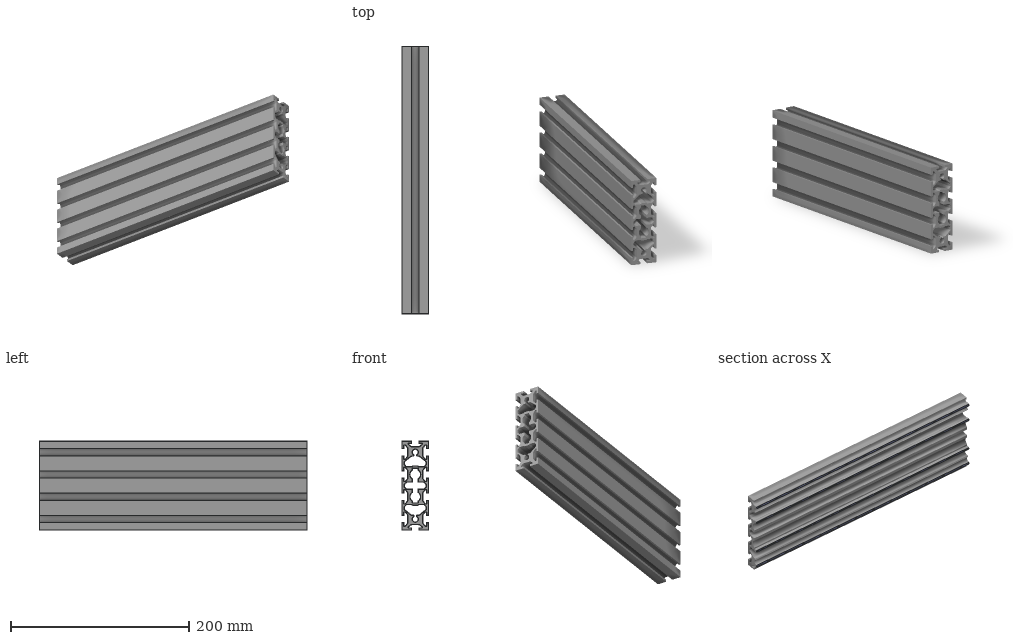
import cadquery as cq

width = 30.0
height = 100.0
length = 300.0

slot_opening = 8.2
slot_floor_radius = 2.0
slot_pitch = 25.0
inner_slot_z = slot_pitch / 2
outer_slot_z = inner_slot_z + slot_pitch
side_slot_heights = [-outer_slot_z, -inner_slot_z, inner_slot_z, outer_slot_z]

side_lip = 2.2
side_slot_depth = 6.5
side_flat_depth = 3.9
side_cavity_half = 7.85
side_floor_half = 4.55

end_lip = 2.6
end_slot_depth = 6.2
end_flat_depth = 3.7
end_cavity_half = 7.7
end_floor_half = 4.7

screw_z = outer_slot_z
screw_radius = 3.3
screw_neck_half = 1.1
screw_mouth_half = 2.1
screw_neck_z = 34.6

chamber_half = 12.2
chamber_floor_z = 21.2
chamber_floor_half = 9.9
chamber_wall_low_z = 23.8
chamber_wall_high_z = 26.8
chamber_shoulder_half = 4.6
chamber_shoulder_radius = 3.0
chamber_roof_z = 33.0
web_crown_half = 2.6
web_crown_base_half = 4.0
web_crown_rise = 0.9

bore_z = inner_slot_z
bore_radius = 5.9
channel_half = 3.2
channel_end_z = 19.4
middle_half_height = 4.0
middle_flat_half = 9.6
middle_wall_half_height = 1.6


def prism(sketch):
    """Extrude a closed XZ section over the full length, centred on Y = 0."""
    return sketch.extrude(length / 2, both=True)


def section(points):
    """Closed polygon in the XZ plane."""
    return cq.Workplane("XZ").polyline(points).close()


def t_slot(lip, flat_depth, depth, cavity_half, floor_half):
    """T-slot cutter opening upward at Z = 0, with a tapered, rounded bottom."""
    half = slot_opening / 2
    cutter = prism(section([
        (-half, 0),
        (-half, -lip),
        (-cavity_half, -lip),
        (-cavity_half, -flat_depth),
        (-floor_half, -depth),
        (floor_half, -depth),
        (cavity_half, -flat_depth),
        (cavity_half, -lip),
        (half, -lip),
        (half, 0),
    ]))
    return cutter.edges("|Y and <Z").fillet(slot_floor_radius)


def both_ends(cutter):
    """The cutter together with its mirror image across Z = 0."""
    return [cutter, cutter.mirror("XY")]


def side_slots():
    """Slots along both wide sides at every slot height."""
    slot = t_slot(side_lip, side_flat_depth, side_slot_depth, side_cavity_half, side_floor_half)
    right = slot.rotate((0, 0, 0), (0, 1, 0), 90).translate((width / 2, 0, 0))
    left = right.mirror("YZ")
    return [side.translate((0, 0, z)) for z in side_slot_heights for side in (left, right)]


def end_slots():
    """One slot along each narrow end."""
    slot = t_slot(end_lip, end_flat_depth, end_slot_depth, end_cavity_half, end_floor_half)
    return both_ends(slot.translate((0, 0, height / 2)))


def screw_channel():
    """Round screw channel with a flared mouth into the chamber below it."""
    bore = prism(cq.Workplane("XZ").center(0, screw_z).circle(screw_radius))
    mouth = prism(section([
        (-screw_neck_half, screw_z),
        (-screw_neck_half, screw_neck_z),
        (-screw_mouth_half, chamber_roof_z),
        (screw_mouth_half, chamber_roof_z),
        (screw_neck_half, screw_neck_z),
        (screw_neck_half, screw_z),
    ]))
    return bore.union(mouth)


def wide_chamber():
    """Chamber with a sloped roof, rounded shoulders and a floor crowned at its middle."""
    crown_z = chamber_floor_z + web_crown_rise
    chamber = prism(section([
        (-web_crown_base_half, chamber_floor_z),
        (-web_crown_half, crown_z),
        (web_crown_half, crown_z),
        (web_crown_base_half, chamber_floor_z),
        (chamber_floor_half, chamber_floor_z),
        (chamber_half, chamber_wall_low_z),
        (chamber_half, chamber_wall_high_z),
        (chamber_shoulder_half, chamber_roof_z),
        (-chamber_shoulder_half, chamber_roof_z),
        (-chamber_half, chamber_wall_high_z),
        (-chamber_half, chamber_wall_low_z),
        (-chamber_floor_half, chamber_floor_z),
    ]))
    return chamber.edges("|Y and >Z").fillet(chamber_shoulder_radius)


def core():
    """Connected central cavity: channel, two bores and the middle chamber."""
    channel = prism(cq.Workplane("XZ").rect(2 * channel_half, 2 * channel_end_z))
    bores = prism(cq.Workplane("XZ").pushPoints([(0, -bore_z), (0, bore_z)]).circle(bore_radius))
    middle = prism(section([
        (-middle_flat_half, middle_half_height),
        (middle_flat_half, middle_half_height),
        (chamber_half, middle_wall_half_height),
        (chamber_half, -middle_wall_half_height),
        (middle_flat_half, -middle_half_height),
        (-middle_flat_half, -middle_half_height),
        (-chamber_half, -middle_wall_half_height),
        (-chamber_half, middle_wall_half_height),
    ]))
    return channel.union(bores).union(middle)


result = cq.Workplane("XY").box(width, length, height)
cutters = side_slots() + end_slots() + both_ends(screw_channel()) + both_ends(wide_chamber()) + [core()]
for cutter in cutters:
    result = result.cut(cutter)